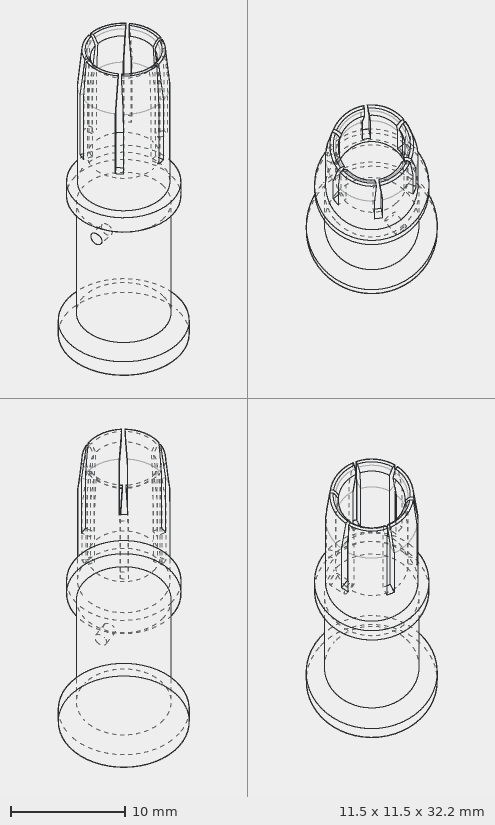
import cadquery as cq
import math

total_height = 32.2

base_radius = 11.5 / 2
base_rim_height = 1.55
base_cone_top = 2.4
body_radius = 4.15
collar_radius = 5.02
collar_cone_bottom = 14.9
collar_bottom = 15.65
collar_top = 17.25
sleeve_radius = 4.05
taper_bottom = 28.18
tip_radius = 3.67

bore_radius = 3.2
bore_bottom = 20.22
drill_point_angle = 118.0
lip_radius = 2.93
lip_depth = 0.85
lip_step_radius = 3.2
lip_step_depth = 0.25
mouth_radius = 3.38

finger_count = 6
slot_bottom = 21.4
slot_width = 0.7
slot_tip_width = 0.3

hole_diameter = 1.2
hole_height = 13.52
hole_depth = 1.6


def revolve_profile(points):
    """Revolve a closed (radius, height) outline about the Z axis."""
    return cq.Workplane("XZ").polyline(points).close().revolve(360, (0, 0), (0, 1))


def outer_body():
    return revolve_profile([
        (0, 0),
        (base_radius, 0),
        (base_radius, base_rim_height),
        (body_radius, base_cone_top),
        (body_radius, collar_cone_bottom),
        (collar_radius, collar_bottom),
        (collar_radius, collar_top),
        (sleeve_radius, collar_top),
        (sleeve_radius, taper_bottom),
        (tip_radius, total_height),
        (0, total_height),
    ])


def socket_bore():
    point_depth = bore_radius / math.tan(math.radians(drill_point_angle / 2))
    return revolve_profile([
        (0, bore_bottom - point_depth),
        (bore_radius, bore_bottom),
        (bore_radius, taper_bottom),
        (lip_radius, total_height - lip_depth),
        (lip_step_radius, total_height - lip_step_depth),
        (mouth_radius, total_height),
        (0, total_height),
    ])


def finger_slot(angle):
    """Slot on one side of the axis, narrowing along the bent fingers."""
    half_width = slot_width / 2
    half_tip = slot_tip_width / 2
    outline = [
        (-half_width, slot_bottom),
        (half_width, slot_bottom),
        (half_width, taper_bottom),
        (half_tip, total_height),
        (-half_tip, total_height),
        (-half_width, taper_bottom),
    ]
    slot = cq.Workplane("YZ").polyline(outline).close().extrude(collar_radius)
    return slot.rotate((0, 0, 0), (0, 0, 1), angle)


def inspection_hole():
    return (
        cq.Workplane("XZ", origin=(0, -body_radius + hole_depth, hole_height))
        .circle(hole_diameter / 2)
        .extrude(2 * hole_depth)
    )


result = outer_body().cut(socket_bore())
for finger in range(finger_count):
    result = result.cut(finger_slot(finger * 360 / finger_count))
result = result.cut(inspection_hole())